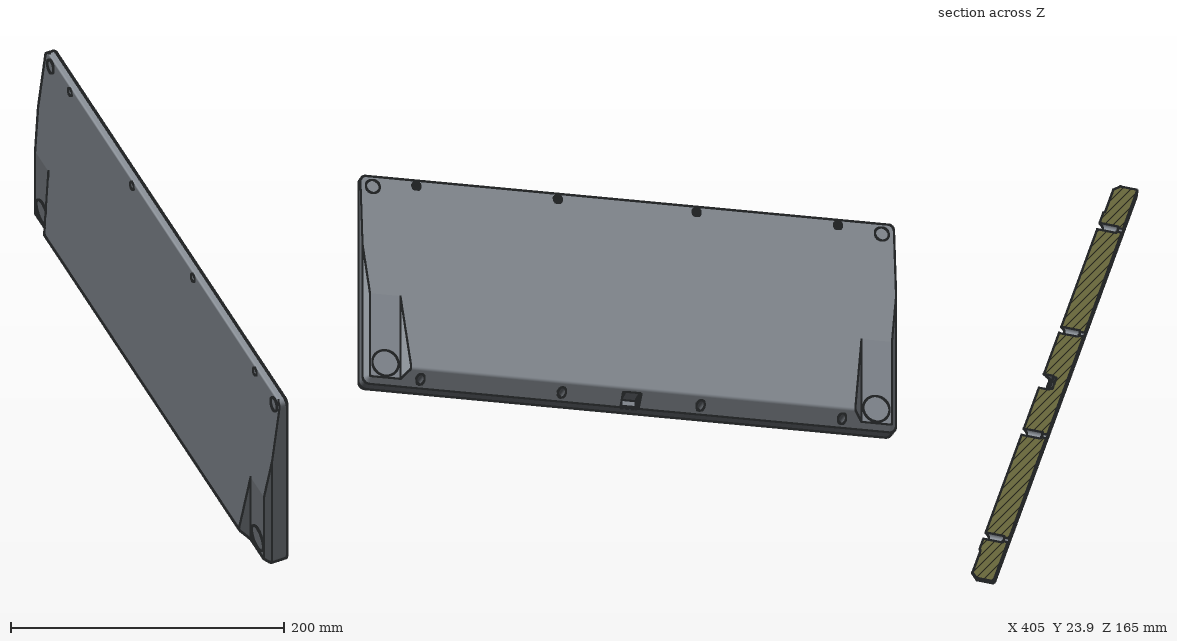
import cadquery as cq
import math

WIDTH = 405.0
HEIGHT = 165.0
TOTAL_DEPTH = 24.0
BACK_Y = TOTAL_DEPTH / 2
BOTTOM_Z = -HEIGHT / 2
TOP_Z = HEIGHT / 2
CORNER_RADIUS = 5.3
BACK_CHAMFER = 1.0

TOP_DEPTH = 6.5
FACE_ANGLE = 6.5
SLOPE = math.tan(math.radians(FACE_ANGLE))
TOP_EDGE_RADIUS = 1.4

PAD_DEPTH = 17.5
PAD_CHAMFER = 4.5
RIM_DEPTH = PAD_DEPTH - PAD_CHAMFER

PAD_INNER_X = 175.0
RIDGE_RADIUS = 3.05

FOOT_RECESS = 0.5
SMALL_FOOT_DIAMETER = 10.5
SMALL_FOOT_X = 193.0
SMALL_FOOT_Z = TOP_Z - 8.5
LARGE_FOOT_DIAMETER = 20.0
LARGE_FOOT_X = 186.5
LARGE_FOOT_Z = BOTTOM_Z + 15.8

SCREW_XS = (-160.0, -52.5, 52.5, 160.0)
SCREW_ROW_ZS = (BOTTOM_Z + 5.3, TOP_Z - 5.0)
SCREW_HOLE_DIAMETER = 3.4
SCREW_SEAT_DIAMETER = 6.0
SCREW_SEAT_DEPTH = 4.0

PORT_WIDTH = 11.5
PORT_ENTRY_WIDTH = 13.8
PORT_HEIGHT = 7.0
PORT_Z = BOTTOM_Z + 4.0
PORT_FLOOR_DEPTH = 9.0
PORT_ENTRY_DEPTH = 11.5


def depth_y(depth):
    """Y coordinate of the plane at the given depth."""
    return BACK_Y - depth


def front_plane(depth, x=0, z=0):
    """Sketch plane facing -Y at the given depth."""
    return cq.Workplane("XZ", origin=(x, depth_y(depth), z))


def bore(depth, diameter, x, z):
    """Cylinder from the given depth out through the front."""
    return front_plane(depth, x, z).circle(diameter / 2).extrude(TOTAL_DEPTH)


def base_tray():
    """Rounded slab, chamfered around its front, standing on the back plane."""
    slab = front_plane(0).rect(WIDTH, HEIGHT).extrude(PAD_DEPTH).edges("|Y").fillet(CORNER_RADIUS)
    return slab.faces("<Y").chamfer(PAD_CHAMFER).faces(">Y").chamfer(BACK_CHAMFER)


def wedge(recess=0):
    """Side profile over the full width; a recess moves the sloped face back."""
    ridge_rise = (TOP_DEPTH + SLOPE * HEIGHT - RIM_DEPTH) / (1 + SLOPE)
    ridge_y = depth_y(RIM_DEPTH + ridge_rise)
    ridge_z = BOTTOM_Z + ridge_rise
    top_y = depth_y(TOP_DEPTH)
    profile = (
        cq.Workplane("YZ", origin=(-WIDTH / 2, 0, 0))
        .moveTo(BACK_Y, BOTTOM_Z)
        .lineTo(depth_y(RIM_DEPTH), BOTTOM_Z)
        .lineTo(ridge_y, ridge_z)
        .lineTo(top_y, TOP_Z)
        .lineTo(BACK_Y, TOP_Z)
        .close()
        .extrude(WIDTH)
    )
    ridge = cq.selectors.NearestToPointSelector((0, ridge_y, ridge_z))
    top_edge = cq.selectors.NearestToPointSelector((0, top_y, TOP_Z))
    rounded = profile.edges(ridge).fillet(RIDGE_RADIUS).edges(top_edge).fillet(TOP_EDGE_RADIUS)
    return rounded.translate((0, recess, 0))


def raised_centre():
    """Trapezoid bar along Z, standing on the pad plane between the two pads."""
    front_x = PAD_INNER_X - (TOTAL_DEPTH - PAD_DEPTH)
    return (
        cq.Workplane("XY", origin=(0, 0, BOTTOM_Z))
        .moveTo(-PAD_INNER_X, depth_y(RIM_DEPTH))
        .lineTo(-PAD_INNER_X, depth_y(PAD_DEPTH))
        .lineTo(-front_x, depth_y(TOTAL_DEPTH))
        .lineTo(front_x, depth_y(TOTAL_DEPTH))
        .lineTo(PAD_INNER_X, depth_y(PAD_DEPTH))
        .lineTo(PAD_INNER_X, depth_y(RIM_DEPTH))
        .close()
        .extrude(HEIGHT)
    )


def small_foot(x):
    """Shallow disc that follows the sloped face."""
    return bore(0, SMALL_FOOT_DIAMETER, x, SMALL_FOOT_Z).cut(wedge(FOOT_RECESS))


def large_foot(x):
    """Shallow disc in the pad."""
    return bore(PAD_DEPTH - FOOT_RECESS, LARGE_FOOT_DIAMETER, x, LARGE_FOOT_Z)


def screw_hole(x, z):
    seat = bore(SCREW_SEAT_DEPTH, SCREW_SEAT_DIAMETER, x, z)
    return bore(0, SCREW_HOLE_DIAMETER, x, z).union(seat)


def port_step(width, floor_depth):
    """Rectangular pocket square to the sloped face, from its floor out through the front."""
    plane = front_plane(floor_depth, 0, PORT_Z).transformed(rotate=(-FACE_ANGLE, 0, 0))
    return plane.rect(width, PORT_HEIGHT).extrude(TOTAL_DEPTH)


def port():
    return port_step(PORT_WIDTH, PORT_FLOOR_DEPTH).union(port_step(PORT_ENTRY_WIDTH, PORT_ENTRY_DEPTH))


result = base_tray().union(raised_centre()).intersect(wedge())
for side in (-1, 1):
    result = result.cut(small_foot(side * SMALL_FOOT_X))
    result = result.cut(large_foot(side * LARGE_FOOT_X))
for screw_x in SCREW_XS:
    for screw_z in SCREW_ROW_ZS:
        result = result.cut(screw_hole(screw_x, screw_z))
result = result.cut(port())